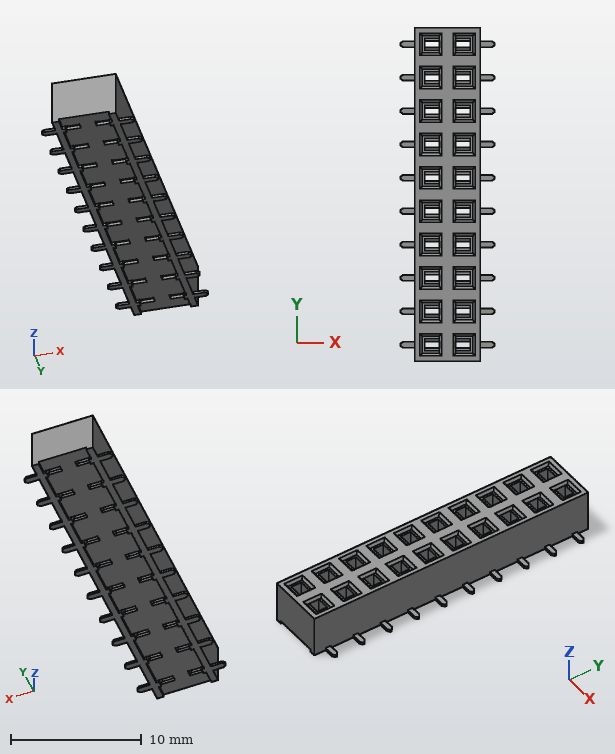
import cadquery as cq

ROW_COUNT = 10
PITCH = 2.55

BODY_LENGTH = ROW_COUNT * PITCH
BODY_WIDTH = 5.0
BODY_HEIGHT = 3.7

TAIL_SPAN = 7.2
TAIL_WIDTH = 0.45
TAIL_THICKNESS = 0.23
TAIL_TIP_WIDTH = 0.15
TAIL_TIP_LENGTH = 0.2
TAIL_INNER_X = 1.73
CHANNEL_WIDTH = 3.9

MOUTH_SIZE = 1.7
MOUTH_FLOOR_SIZE = 1.3
MOUTH_DEPTH = 0.23
BORE_WIDTH = 0.91
BORE_FLOOR_Z = 0.5
SLOT_WIDTH = TAIL_WIDTH

SIDES = (-1, 1)
ROW_POSITIONS = [(row - (ROW_COUNT - 1) / 2) * PITCH for row in range(ROW_COUNT)]


def make_body():
    """Housing block with an open channel between two feet along its underside."""
    body = cq.Workplane("XY").box(BODY_WIDTH, BODY_LENGTH, BODY_HEIGHT, centered=(True, True, False))
    channel = cq.Workplane("XY").box(
        CHANNEL_WIDTH, BODY_LENGTH, TAIL_THICKNESS, centered=(True, True, False)
    )
    return body.cut(channel)


def make_socket(side, y):
    """Cutter for one socket; bore and slot run from the mouth's inner edge to the end of the tail."""
    mouth = (
        cq.Workplane("XY", origin=(side * PITCH / 2, y, BODY_HEIGHT))
        .rect(MOUTH_SIZE, MOUTH_SIZE)
        .workplane(offset=-MOUTH_DEPTH)
        .rect(MOUTH_FLOOR_SIZE, MOUTH_FLOOR_SIZE)
        .loft(ruled=True)
    )
    bore_inner_x = (PITCH - MOUTH_FLOOR_SIZE) / 2
    bore_length = TAIL_INNER_X - bore_inner_x
    bore_x = side * (TAIL_INNER_X + bore_inner_x) / 2
    bore = (
        cq.Workplane("XY", origin=(bore_x, y, BORE_FLOOR_Z))
        .rect(bore_length, BORE_WIDTH)
        .extrude(BODY_HEIGHT - MOUTH_DEPTH - BORE_FLOOR_Z)
    )
    slot = (
        cq.Workplane("XY", origin=(bore_x, y, 0))
        .rect(bore_length, SLOT_WIDTH)
        .extrude(BORE_FLOOR_Z)
    )
    return mouth.union(bore).union(slot)


def make_tail(side, y):
    """Flat solder tail with a tapered outer tip."""
    tip_x = side * TAIL_SPAN / 2
    shoulder_x = side * (TAIL_SPAN / 2 - TAIL_TIP_LENGTH)
    inner_x = side * TAIL_INNER_X
    return (
        cq.Workplane("XY", origin=(0, y, 0))
        .moveTo(inner_x, -TAIL_WIDTH / 2)
        .lineTo(shoulder_x, -TAIL_WIDTH / 2)
        .lineTo(tip_x, -TAIL_TIP_WIDTH / 2)
        .lineTo(tip_x, TAIL_TIP_WIDTH / 2)
        .lineTo(shoulder_x, TAIL_WIDTH / 2)
        .lineTo(inner_x, TAIL_WIDTH / 2)
        .close()
        .extrude(TAIL_THICKNESS)
    )


result = make_body()
for row_y in ROW_POSITIONS:
    for column_side in SIDES:
        result = result.cut(make_socket(column_side, row_y))
        result = result.union(make_tail(column_side, row_y))